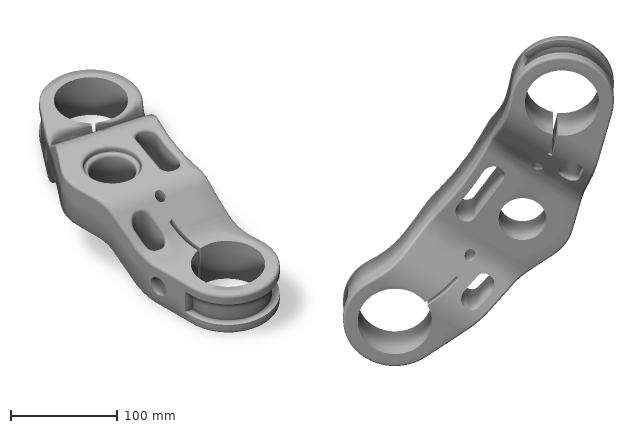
import cadquery as cq
import math


fork_half_pitch = 141.0
fork_offset = 50.0
boss_radius = 48.86
stem_boss_radius = 49.01
waist_radius = 289.0
total_height = 84.38
clamp_height = 45.0
centre_bottom = 38.1
slope_angle = math.radians(40.5)
upper_rim_fillet = 3.0
lower_rim_fillet = 2.5

top_flat_end = 40.7
top_outer_bend = 28.0
top_inner_bend = 43.5
bottom_flat_end = 41.4
bottom_inner_bend = 28.0
bottom_outer_bend = 43.5

fork_bore_radius = 35.0
stem_bore_radius = 22.5
stem_seat_radius = 27.5
stem_seat_depth = 6.5
stem_mouth_fillet = 3.0
stem_bore_fillet = 3.0

groove_height = 24.5
groove_core_radius = 41.6
groove_wall_inset = 7.0

split_angle = math.radians(23.5)
split_width = 4.0
left_split_reach = 62.7
right_split_reach = 70.0
bolt_x = 116.0
bolt_head_radius = 10.0
bolt_head_depth = 15.8
bolt_radius = 5.75
bolt_hole_depth = 70.0

pin_x = 57.3
pin_y = 21.1
pin_radius = 5.0

front_pocket_x = 78.3
front_pocket_y = -2.0
front_pocket_width = 20.4
front_pocket_length = 30.3
front_pocket_corner = 8.5
rear_pocket_half_length = 33.3
rear_pocket_front = 38.1
rear_pocket_wall = 9.8
rear_pocket_front_corner = 9.0
rear_pocket_rear_corner = 11.2
pocket_fillet = 3.0

flank_angle = math.atan2(fork_offset, fork_half_pitch) + math.asin(
    (stem_boss_radius - boss_radius) / math.hypot(fork_offset, fork_half_pitch)
)
waist_centre_y = fork_offset + math.sqrt(
    (waist_radius + boss_radius) ** 2 - fork_half_pitch**2
)
parting_height = (centre_bottom + clamp_height) / 2
far = 300.0


def plan_body():
    """Plan outline, extruded over the full height."""
    normal_x = math.sin(flank_angle)
    normal_y = math.cos(flank_angle)
    stem_tangent = (stem_boss_radius * normal_x, -stem_boss_radius * normal_y)
    fork_tangent = (
        fork_half_pitch + boss_radius * normal_x,
        fork_offset - boss_radius * normal_y,
    )
    share = boss_radius / (waist_radius + boss_radius)
    waist_tangent = (
        fork_half_pitch * (1 - share),
        fork_offset + (waist_centre_y - fork_offset) * share,
    )
    diagonal = boss_radius * math.sqrt(0.5)
    fork_outer = (fork_half_pitch + diagonal, fork_offset + diagonal)

    def mirrored(point):
        return (-point[0], point[1])

    return (
        cq.Workplane("XY")
        .moveTo(*stem_tangent)
        .lineTo(*fork_tangent)
        .threePointArc(fork_outer, waist_tangent)
        .threePointArc((0, waist_centre_y - waist_radius), mirrored(waist_tangent))
        .threePointArc(mirrored(fork_outer), mirrored(fork_tangent))
        .lineTo(*mirrored(stem_tangent))
        .threePointArc((0, -stem_boss_radius), stem_tangent)
        .close()
        .extrude(total_height)
    )


def crank_points(flat_end, high, low, upper_bend, lower_bend):
    """Corners of one slope: two bends joined by a straight line at the slope angle."""
    sine = math.sin(slope_angle)
    cosine = math.cos(slope_angle)
    bend_drop = (upper_bend + lower_bend) * (1 - cosine)
    run = (high - low - bend_drop) / math.tan(slope_angle)
    upper_end = (flat_end + upper_bend * sine, high - upper_bend * (1 - cosine))
    lower_start = (upper_end[0] + run, low + lower_bend * (1 - cosine))
    lower_end = (lower_start[0] + lower_bend * sine, low)
    half_sine = math.sin(slope_angle / 2)
    half_drop = 1 - math.cos(slope_angle / 2)
    upper_mid = (flat_end + upper_bend * half_sine, high - upper_bend * half_drop)
    lower_mid = (lower_end[0] - lower_bend * half_sine, low + lower_bend * half_drop)
    return (flat_end, high), upper_mid, upper_end, lower_start, lower_mid, lower_end


def crank_body():
    """Cranked side profile, extruded across the whole width."""
    top = crank_points(top_flat_end, total_height, clamp_height, top_outer_bend, top_inner_bend)
    bottom = crank_points(
        bottom_flat_end, centre_bottom, 0, bottom_inner_bend, bottom_outer_bend
    )
    half = (
        cq.Workplane("XZ", origin=(0, far, 0))
        .moveTo(0, total_height)
        .lineTo(*top[0])
        .threePointArc(top[1], top[2])
        .lineTo(*top[3])
        .threePointArc(top[4], top[5])
        .lineTo(far, clamp_height)
        .lineTo(far, 0)
        .lineTo(*bottom[5])
        .threePointArc(bottom[4], bottom[3])
        .lineTo(*bottom[2])
        .threePointArc(bottom[1], bottom[0])
        .lineTo(0, centre_bottom)
        .close()
        .extrude(2 * far)
    )
    return half.union(half.mirror("YZ")).clean()


def upright_cylinder(x, y, radius, bottom=0.0, top=total_height):
    return cq.Workplane("XY", origin=(x, y, bottom)).circle(radius).extrude(top - bottom)


def on_both_sides(shape):
    """A feature on the +X side together with its mirror image."""
    return shape.union(shape.mirror("YZ"))


def fork_groove():
    """Groove round the outer half of a fork clamp, ending at a flat wall."""
    bottom = (clamp_height - groove_height) / 2
    reach = 2 * boss_radius
    block = (
        cq.Workplane("XY", origin=(fork_half_pitch + groove_wall_inset, fork_offset, bottom))
        .rect(reach, 2 * reach)
        .extrude(groove_height)
        .translate((reach / 2, 0, 0))
    )
    core = upright_cylinder(
        fork_half_pitch, fork_offset, groove_core_radius, bottom, bottom + groove_height
    )
    return block.cut(core)


def clamp_split(reach):
    """Right-hand saw cut from the fork bore toward the stem."""
    return (
        cq.Workplane("XY")
        .rect(reach, split_width)
        .extrude(total_height)
        .translate((-reach / 2, 0, 0))
        .rotate((0, 0, 0), (0, 0, 1), math.degrees(split_angle))
        .translate((fork_half_pitch, fork_offset, 0))
    )


def clamp_bolt_hole():
    """Counterbored blind hole from the front flank, square to the clamp split."""
    inward = cq.Vector(-math.sin(split_angle), math.cos(split_angle), 0)
    flank_y = (bolt_x - fork_half_pitch) * math.tan(flank_angle) + fork_offset
    flank_y -= boss_radius / math.cos(flank_angle)
    entry = cq.Vector(bolt_x, flank_y, clamp_height / 2)
    clearance = 5.0
    head = cq.Solid.makeCylinder(
        bolt_head_radius, bolt_head_depth + clearance, entry - inward * clearance, inward
    )
    shank = cq.Solid.makeCylinder(bolt_radius, bolt_hole_depth, entry, inward)
    return cq.Workplane(head).union(cq.Workplane(shank))


def stem_bore():
    """Through bore with a wider bearing seat, both rounded at their upper edges."""
    seat_bottom = total_height - stem_seat_depth
    bore_arc_end = stem_bore_radius + stem_bore_fillet
    mouth_arc_end = stem_seat_radius + stem_mouth_fillet
    return (
        cq.Workplane("XZ")
        .lineTo(stem_bore_radius, 0)
        .lineTo(stem_bore_radius, seat_bottom - stem_bore_fillet)
        .radiusArc((bore_arc_end, seat_bottom), stem_bore_fillet)
        .lineTo(stem_seat_radius, seat_bottom)
        .lineTo(stem_seat_radius, total_height - stem_mouth_fillet)
        .radiusArc((mouth_arc_end, total_height), stem_mouth_fillet)
        .lineTo(0, total_height)
        .close()
        .revolve(360, (0, 0, 0), (0, 1, 0))
    )


def front_pocket():
    """Right-hand pocket with two walls parallel to the front flank and two along Y."""
    half_length = front_pocket_length / 2
    half_depth = front_pocket_width / math.cos(flank_angle) / 2
    rise = half_length * math.tan(flank_angle)
    return (
        cq.Workplane("XY", origin=(front_pocket_x, front_pocket_y, 0))
        .moveTo(-half_length, -half_depth - rise)
        .lineTo(half_length, -half_depth + rise)
        .lineTo(half_length, half_depth + rise)
        .lineTo(-half_length, half_depth - rise)
        .close()
        .extrude(total_height)
        .edges("|Z")
        .fillet(front_pocket_corner)
    )


def rear_pocket():
    """Pocket whose rear wall follows the waist arc."""
    arc_radius = waist_radius + rear_pocket_wall
    corner_y = waist_centre_y - math.sqrt(arc_radius**2 - rear_pocket_half_length**2)
    return (
        cq.Workplane("XY")
        .moveTo(-rear_pocket_half_length, rear_pocket_front)
        .lineTo(rear_pocket_half_length, rear_pocket_front)
        .lineTo(rear_pocket_half_length, corner_y)
        .threePointArc((0, waist_centre_y - arc_radius), (-rear_pocket_half_length, corner_y))
        .close()
        .extrude(total_height)
        .edges("|Z and <Y")
        .fillet(rear_pocket_front_corner)
        .edges("|Z and >Y")
        .fillet(rear_pocket_rear_corner)
    )


def height_band(bottom, top):
    """Selects what lies between two heights."""
    return cq.selectors.BoxSelector((-far, -far, bottom), (far, far, top))


def cut_rounded_pocket(body, pocket):
    """Cut an upright pocket and round its upper rim."""
    box = pocket.val().BoundingBox()
    around_pocket = cq.selectors.BoxSelector(
        (box.xmin, box.ymin, parting_height), (box.xmax, box.ymax, far)
    )
    upright = cq.selectors.ParallelDirSelector(cq.Vector(0, 0, 1))
    return body.cut(pocket).edges(around_pocket - upright).fillet(pocket_fillet)


def rounded_body():
    """Cranked body with its upper and lower outlines rounded."""
    rim_edges = "not (|Y or |Z)"
    body = plan_body().intersect(crank_body())
    body = body.edges(rim_edges).edges(height_band(parting_height, far)).fillet(upper_rim_fillet)
    return body.edges(rim_edges).edges(height_band(-far, parting_height)).fillet(lower_rim_fillet)


def triple_clamp():
    body = rounded_body()
    body = cut_rounded_pocket(body, rear_pocket())
    body = cut_rounded_pocket(body, front_pocket())
    body = cut_rounded_pocket(body, front_pocket().mirror("YZ"))

    fork_bore = upright_cylinder(fork_half_pitch, fork_offset, fork_bore_radius)
    pin_hole = upright_cylinder(pin_x, pin_y, pin_radius)
    body = body.cut(stem_bore())
    for feature in (fork_bore, fork_groove(), clamp_bolt_hole(), pin_hole):
        body = body.cut(on_both_sides(feature))
    body = body.cut(clamp_split(right_split_reach))
    body = body.cut(clamp_split(left_split_reach).mirror("YZ"))
    return body


result = triple_clamp()